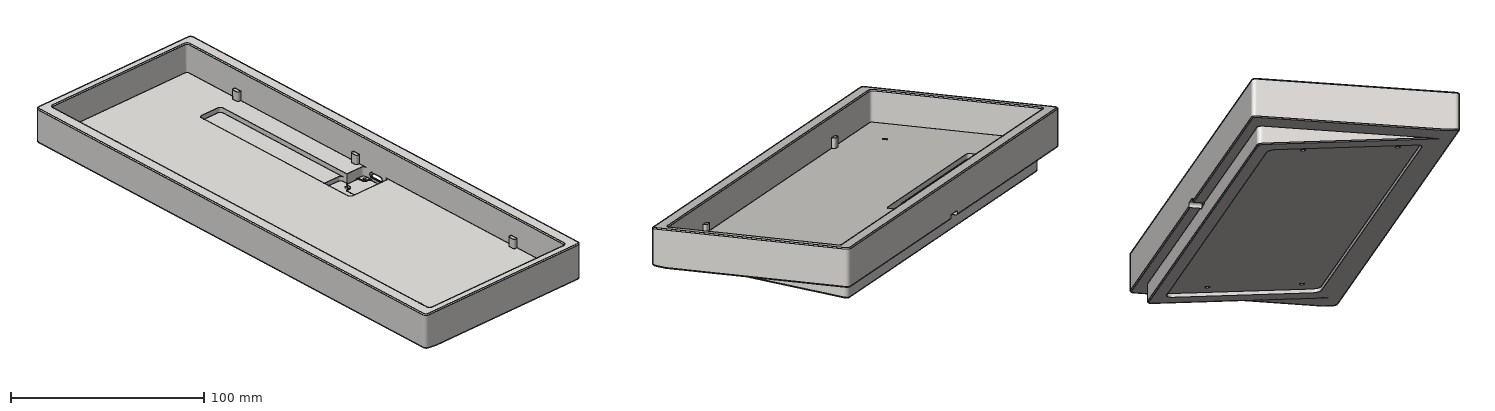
import cadquery as cq
import math

LENGTH = 295.7
WIDTH = 110.3
TOTAL_HEIGHT = 31.3
TRAY_HEIGHT = 21.3
END_WALL = 4.7
SIDE_WALL = 7.0
FLOOR_Z = 3.8
OUTER_RADIUS = 2.5
INNER_RADIUS = 1.5
EDGE_CHAMFER = 0.5

TILT = math.radians(6.0)
FOOT_LENGTH = 268.0
FOOT_BACK_Y = 49.0
FOOT_FRONT_Y = -48.8
FOOT_RADIUS = 2.7
FOOT_DEPTH = TOTAL_HEIGHT - TRAY_HEIGHT

RECESS_LENGTH = 247.8
RECESS_BACK_Y = 41.5
RECESS_FRONT_Y = -40.8
RECESS_DEPTH = 2.0
RECESS_RADIUS = 4.0

SCREW_DIAMETER = 2.55
SCREW_SPACING_X = 229.8
SCREW_FRONT_Y = -29.5
SCREW_BACK_Y = 20.7
SCREW_DEPTH = 6.0

STOP_WIDTH = 4.5
STOP_DEPTH = 2.0
STOP_HEIGHT = 5.5
STOP_RADIUS = 1.0
BACK_STOPS_X = (-104.7, -14.8, 104.7)
FRONT_STOPS_X = (-90.5, 90.5)

CHANNEL_LEFT_X = -105.0
CHANNEL_BACK_Y = 36.0
CHANNEL_FRONT_Y = 21.0
CHANNEL_DEPTH = 3.0
POCKET_LENGTH = 18.5
POCKET_LEFT_X = -14.0
POCKET_DEPTH = 5.5
POCKET_RADIUS = 1.8

BOARD_CENTRE_Y = 39.5
RELIEF_WIDTH = 9.2
RELIEF_FRONT_Y = 30.8
RELIEF_DEPTH = 0.5
RELIEF_RADIUS = 1.5
PILOT_SPACING = 13.0
PILOT_DIAMETER = 1.6
PILOT_DEPTH = 3.0

PORT_WIDTH = 9.5
PORT_HEIGHT = 3.3
PORT_Z = 1.0

CAVITY_LENGTH = LENGTH - 2 * END_WALL
BACK_WALL_Y = WIDTH / 2 - SIDE_WALL
POCKET_FLOOR_Z = FLOOR_Z - POCKET_DEPTH
POCKET_RIGHT_X = POCKET_LENGTH / 2

SOLE_ORIGIN_Y = FOOT_BACK_Y - EDGE_CHAMFER * math.cos(TILT)
SOLE = cq.Plane(
    origin=(0, SOLE_ORIGIN_Y, -FOOT_DEPTH),
    xDir=(1, 0, 0),
    normal=(0, math.sin(TILT), math.cos(TILT)),
)


def block(x_range, y_range, z_range, radius=0, rounded="|Z"):
    """Box between the given limits, with the chosen upright edges rounded."""
    sizes = [high - low for low, high in (x_range, y_range, z_range)]
    body = cq.Workplane("XY").box(*sizes, centered=False)
    body = body.translate((x_range[0], y_range[0], z_range[0]))
    return body.edges(rounded).fillet(radius) if radius else body


def along_sole(y):
    """Distance within the sole plane from its origin to a given Y."""
    return (y - SOLE_ORIGIN_Y) / math.cos(TILT)


def make_wedge(x_range, y_range, top_z, radius):
    """Rounded upright block ending on the sole plane, with the edge of its sole chamfered."""
    wedge = block(x_range, y_range, (-TOTAL_HEIGHT, top_z), radius)
    below_sole = cq.Workplane(SOLE).rect(2 * LENGTH, 2 * LENGTH).extrude(-LENGTH)
    return wedge.cut(below_sole).faces("<Z").edges().chamfer(EDGE_CHAMFER)


def make_tray():
    """Rounded box, chamfered top and bottom, whose front underside is trimmed along the sole."""
    x_range = (-LENGTH / 2, LENGTH / 2)
    y_range = (-WIDTH / 2, WIDTH / 2)
    tray = block(x_range, y_range, (0, TRAY_HEIGHT), OUTER_RADIUS)
    tray = tray.faces("<Z or >Z").edges().chamfer(EDGE_CHAMFER)
    return tray.intersect(make_wedge(x_range, y_range, TRAY_HEIGHT, OUTER_RADIUS))


def make_foot():
    x_range = (-FOOT_LENGTH / 2, FOOT_LENGTH / 2)
    return make_wedge(x_range, (FOOT_FRONT_Y, FOOT_BACK_Y), FLOOR_Z, FOOT_RADIUS)


def make_cavity():
    half_x = CAVITY_LENGTH / 2
    cavity = block((-half_x, half_x), (-BACK_WALL_Y, BACK_WALL_Y), (FLOOR_Z, TRAY_HEIGHT), INNER_RADIUS)
    flare = (
        cavity.faces(">Z").wires().toPending().workplane()
        .offset2D(EDGE_CHAMFER).extrude(-EDGE_CHAMFER, taper=45)
    )
    return cavity.union(flare)


def make_sole_recess():
    back = along_sole(RECESS_BACK_Y)
    front = along_sole(RECESS_FRONT_Y)
    outline = cq.Sketch().rect(RECESS_LENGTH, back - front).vertices().fillet(RECESS_RADIUS)
    return cq.Workplane(SOLE).center(0, (back + front) / 2).placeSketch(outline).extrude(RECESS_DEPTH)


def make_screw_holes():
    points = [
        (side * SCREW_SPACING_X / 2, along_sole(y))
        for side in (-1, 1)
        for y in (SCREW_FRONT_Y, SCREW_BACK_Y)
    ]
    return cq.Workplane(SOLE).pushPoints(points).circle(SCREW_DIAMETER / 2).extrude(SCREW_DEPTH)


def make_channel_and_pocket():
    channel_y = (CHANNEL_FRONT_Y, CHANNEL_BACK_Y)
    channel_z = (FLOOR_Z - CHANNEL_DEPTH, FLOOR_Z)
    pocket_y = (CHANNEL_FRONT_Y, BACK_WALL_Y)
    pocket_z = (POCKET_FLOOR_Z, FLOOR_Z)
    channel = block((CHANNEL_LEFT_X, POCKET_RIGHT_X), channel_y, channel_z, POCKET_RADIUS)
    pocket = block((-POCKET_RIGHT_X, POCKET_RIGHT_X), pocket_y, pocket_z, POCKET_RADIUS)
    landing = block((POCKET_LEFT_X, POCKET_RIGHT_X), channel_y, pocket_z, POCKET_RADIUS)
    return channel.union(pocket).union(landing)


def make_board_relief():
    arm = RELIEF_WIDTH / 2
    relief_z = (POCKET_FLOOR_Z - RELIEF_DEPTH, POCKET_FLOOR_Z)
    long_arm = block((-arm, arm), (RELIEF_FRONT_Y, BACK_WALL_Y), relief_z)
    cross_y = (BOARD_CENTRE_Y - arm, BOARD_CENTRE_Y + arm)
    cross_arm = block((-POCKET_RIGHT_X, POCKET_RIGHT_X), cross_y, relief_z)
    relief = long_arm.union(cross_arm).edges("|Z").fillet(RELIEF_RADIUS)
    pilots = (
        cq.Workplane("XY", origin=(0, BOARD_CENTRE_Y, POCKET_FLOOR_Z))
        .rect(PILOT_SPACING, PILOT_SPACING, forConstruction=True).vertices()
        .circle(PILOT_DIAMETER / 2).extrude(-PILOT_DEPTH)
    )
    return relief.union(pilots)


def make_port():
    return (
        cq.Workplane("XZ", origin=(0, WIDTH / 2, PORT_Z))
        .slot2D(PORT_WIDTH, PORT_HEIGHT).extrude(SIDE_WALL)
    )


def make_stop(x):
    """Stop on the back wall, with the two upright edges away from the wall rounded."""
    x_range = (x - STOP_WIDTH / 2, x + STOP_WIDTH / 2)
    y_range = (BACK_WALL_Y - STOP_DEPTH, BACK_WALL_Y)
    return block(x_range, y_range, (FLOOR_Z, FLOOR_Z + STOP_HEIGHT), STOP_RADIUS, "|Z and <Y")


result = make_tray().union(make_foot())
for cutter in (
    make_cavity(),
    make_sole_recess(),
    make_screw_holes(),
    make_channel_and_pocket(),
    make_board_relief(),
    make_port(),
):
    result = result.cut(cutter)

for stop_x in BACK_STOPS_X:
    result = result.union(make_stop(stop_x))
for stop_x in FRONT_STOPS_X:
    result = result.union(make_stop(stop_x).mirror("XZ"))